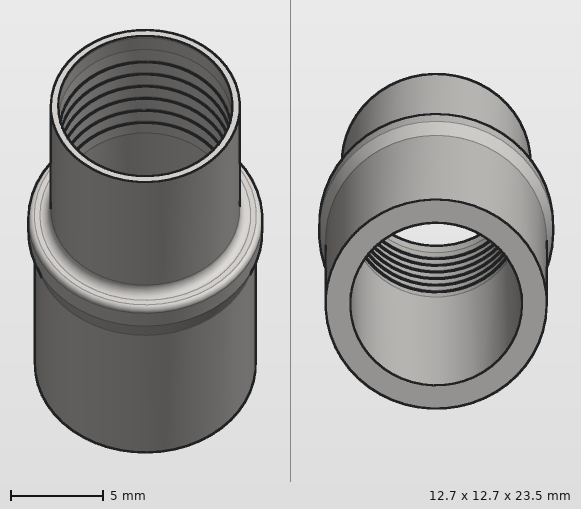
import cadquery as cq

total_height = 23.5
neck_radius = 5.12
collar_radius = 6.35
body_radius = 6.0
bore_radius = 4.65

body_top = 10.7
cone_top = 12.0
collar_top = 13.51
neck_fillet = 0.59
collar_rounding = 0.33

mouth_radius = 4.7
mouth_depth = 1.22
mouth_taper_width = 0.02
mouth_taper_height = 0.15
ring_pitch = 1.1
crest_width = 0.19
ring_count = 7

outer = (
    cq.Workplane("XZ")
    .lineTo(body_radius, 0)
    .lineTo(body_radius, body_top)
    .lineTo(collar_radius, cone_top)
    .lineTo(collar_radius, collar_top - collar_rounding)
    .radiusArc((collar_radius - collar_rounding, collar_top), -collar_rounding)
    .lineTo(neck_radius + neck_fillet, collar_top)
    .radiusArc((neck_radius, collar_top + neck_fillet), neck_fillet)
    .lineTo(neck_radius, total_height)
    .lineTo(0, total_height)
    .close()
    .revolve(360, (0, 0, 0), (0, 1, 0))
)

bore = (
    cq.Workplane("XZ")
    .moveTo(0, total_height)
    .lineTo(mouth_radius + mouth_taper_width, total_height)
    .lineTo(mouth_radius, total_height - mouth_taper_height)
    .lineTo(mouth_radius, total_height - mouth_depth)
)
for index in range(ring_count):
    crest_bottom = total_height - mouth_depth - (index + 1) * ring_pitch
    bore = bore.lineTo(bore_radius, crest_bottom + crest_width)
    if index < ring_count - 1:
        bore = bore.lineTo(bore_radius, crest_bottom)
        bore = bore.lineTo(mouth_radius, crest_bottom)

bore = (
    bore.lineTo(bore_radius, 0)
    .lineTo(0, 0)
    .close()
    .revolve(360, (0, 0, 0), (0, 1, 0))
)

result = outer.cut(bore)